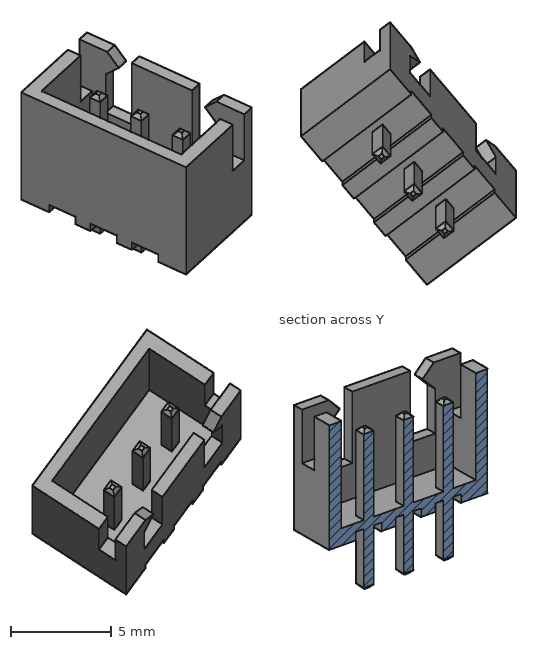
import cadquery as cq

length = 10.08
depth = 5.7
height = 7.0
side_wall = 0.78
front_wall = 0.68
back_wall = 0.66
floor_top = 1.0

side_slot_width = 0.99
side_slot_depth = 3.0

window_outer = 3.34
window_width = 1.49
window_depth = 4.0
hook_reach = 0.71
latch_relief = 0.09

pin_count = 3
pin_pitch = 2.53
pin_size = 0.65
pin_y = 3.15
pin_top = 6.0
pin_bottom = -3.0
tip_size = 0.22
tip_chamfer = (pin_size - tip_size) / 2
groove_width = 1.6
groove_depth = 0.48

pin_positions = [(i - (pin_count - 1) / 2) * pin_pitch for i in range(pin_count)]
back_inner_y = depth - back_wall


def block(x_min, x_max, y_min, y_max, z_min, z_max):
    """Axis-aligned box given by its limits."""
    size = (x_max - x_min, y_max - y_min, z_max - z_min)
    return cq.Workplane("XY").box(*size, centered=False).translate((x_min, y_min, z_min))


def open_housing():
    """Open-topped box with grooves across its underside."""
    body = block(-length / 2, length / 2, 0, depth, 0, height)
    inner_half = length / 2 - side_wall
    body = body.cut(block(-inner_half, inner_half, front_wall, back_inner_y, floor_top, height))
    for x in pin_positions:
        body = body.cut(block(x - groove_width / 2, x + groove_width / 2, 0, depth, 0, groove_depth))
    return body


def side_slots():
    """Slot through both side walls, next to the back wall."""
    slot_front = back_inner_y - side_slot_width
    return block(-length / 2, length / 2, slot_front, back_inner_y, height - side_slot_depth, height)


def latch_window():
    """Left window, less the hook that points into it."""
    outer = -window_outer
    inner = outer + window_width
    window = block(outer - latch_relief, inner, back_inner_y, depth, height - window_depth, height)
    hook = (
        cq.Workplane("XZ", origin=(0, depth, 0))
        .moveTo(outer, height)
        .lineTo(outer + hook_reach, height - hook_reach)
        .lineTo(outer - latch_relief, height - 2 * hook_reach - latch_relief)
        .lineTo(outer - latch_relief, height)
        .close()
        .extrude(back_wall)
    )
    return window.cut(hook)


def pin(x):
    """Square pin with a tapered tip at both ends."""
    half = pin_size / 2
    post = block(x - half, x + half, pin_y - half, pin_y + half, pin_bottom, pin_top)
    return post.faces("<Z or >Z").chamfer(tip_chamfer)


window = latch_window()
result = open_housing().cut(side_slots()).cut(window).cut(window.mirror("YZ"))
for x in pin_positions:
    result = result.union(pin(x))